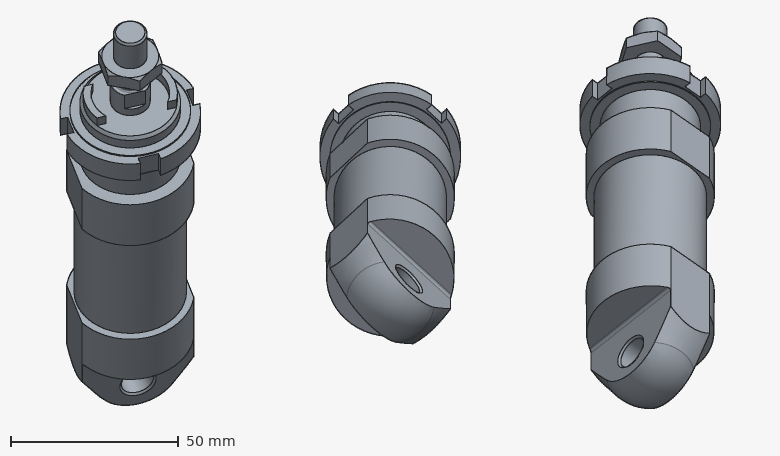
import cadquery as cq
import math


LUG_HOLE_Z = 12.0
REAR_HEAD_BOTTOM = 26.2
HEAD_LENGTH = 18.4
REAR_HEAD_TOP = REAR_HEAD_BOTTOM + HEAD_LENGTH
FRONT_HEAD_TOP = 105.3
FRONT_HEAD_BOTTOM = FRONT_HEAD_TOP - HEAD_LENGTH
COLLAR_TOP = 130.7
ROD_SHOULDER = 139.5
THREAD_BOTTOM = 141.8
ROD_TIP = 161.5

BARREL_DIA = 33.6
HEAD_DIA = 38.3
HEAD_FLATS = 34.9
REAR_HEAD_TAPER = 0.25
COLLAR_DIA = 30.0
COLLAR_CHAMFER = 1.0

TAB_OUTER_DIA = COLLAR_DIA - 2 * COLLAR_CHAMFER
TAB_INNER_DIA = 23.4
TAB_WIDTH = 13.2
TAB_HEIGHT = 3.4

LUG_THICKNESS = 16.0
LUG_ROOT_FILLET = 1.0
LUG_NOSE_RADIUS = 15.2
LUG_CONE_ANGLE = math.radians(30)
LUG_HOLE_DIA = 10.0
LUG_HOLE_CHAMFER = 0.6

ROD_DIA = 12.0
ROD_FLATS = 10.0
ROD_FLATS_HEIGHT = 6.0
THREAD_DIA = 10.0
NECK_DIA = 8.4
NECK_FILLET = 0.5
TIP_CHAMFER = 0.6

HEX_FLATS = 17.0
HEX_HEIGHT = 5.0
HEX_BOTTOM = 145.7
HEX_CHAMFER_ANGLE = math.radians(30)

RING_DIA = 42.0
RING_FACE_DIA = 36.0
RING_HEIGHT = 8.4
RING_BOTTOM = 117.9
RING_STEP = 0.5
RING_SLOT_WIDTH = 6.3
RING_SLOT_FLOOR = 18.5
RING_SLOTS = 4


def cylinder(diameter, bottom, top):
    return cq.Workplane("XY").workplane(offset=bottom).circle(diameter / 2).extrude(top - bottom)


def block(size_x, size_y, bottom, top):
    return cq.Workplane("XY").workplane(offset=bottom).rect(size_x, size_y).extrude(top - bottom)


def revolve_profile(profile):
    """Turn a closed outline drawn in radius and height about the Z axis."""
    return profile.close().revolve(360, (0, 0, 0), (0, 1, 0))


def make_nose_envelope():
    """Round solid with a spherical nose that runs tangent into a cone, then into the head wall."""
    head_radius = HEAD_DIA / 2
    tangent_r = LUG_NOSE_RADIUS * math.cos(LUG_CONE_ANGLE)
    tangent_z = LUG_NOSE_RADIUS * (1 - math.sin(LUG_CONE_ANGLE))
    middle_angle = (math.pi / 2 + LUG_CONE_ANGLE) / 2
    middle_r = LUG_NOSE_RADIUS * math.cos(middle_angle)
    middle_z = LUG_NOSE_RADIUS * (1 - math.sin(middle_angle))
    cone_top_z = tangent_z + (head_radius - tangent_r) / math.tan(LUG_CONE_ANGLE)
    profile = (
        cq.Workplane("XZ")
        .moveTo(0, 0)
        .threePointArc((middle_r, middle_z), (tangent_r, tangent_z))
        .lineTo(head_radius, cone_top_z)
        .lineTo(head_radius, REAR_HEAD_TOP)
        .lineTo(0, REAR_HEAD_TOP)
    )
    return revolve_profile(profile)


def head_outline(height, side_reach):
    """Two flats parallel to X joined by arcs that reach out to side_reach on both sides."""
    flat_y = HEAD_FLATS / 2
    flat_x = math.sqrt((HEAD_DIA / 2) ** 2 - flat_y ** 2)
    return (
        cq.Workplane("XY")
        .workplane(offset=height)
        .moveTo(-flat_x, flat_y)
        .lineTo(flat_x, flat_y)
        .threePointArc((side_reach, 0), (flat_x, -flat_y))
        .lineTo(-flat_x, -flat_y)
        .threePointArc((-side_reach, 0), (-flat_x, flat_y))
        .close()
    )


def make_rear_head():
    """Head with two flats and slightly tapered round sides, and the clevis lug below it."""
    top_reach = HEAD_DIA / 2
    bottom_reach = top_reach - REAR_HEAD_TAPER
    bottom_wire = head_outline(REAR_HEAD_BOTTOM, bottom_reach).val()
    top_wire = head_outline(REAR_HEAD_TOP, top_reach).val()
    head = cq.Workplane(cq.Solid.makeLoft([bottom_wire, top_wire], True))
    lug = head_outline(0, bottom_reach).extrude(REAR_HEAD_BOTTOM)
    lug = lug.intersect(make_lug_section()).intersect(make_nose_envelope())
    return head.union(lug)


def make_lug_section():
    """Straight-sided slab, spread at the top by a concave fillet on each side."""
    half = LUG_THICKNESS / 2
    fillet_start = REAR_HEAD_BOTTOM - LUG_ROOT_FILLET
    fillet_side = half + LUG_ROOT_FILLET
    return (
        cq.Workplane("XZ")
        .moveTo(-half, 0)
        .lineTo(half, 0)
        .lineTo(half, fillet_start)
        .radiusArc((fillet_side, REAR_HEAD_BOTTOM), LUG_ROOT_FILLET)
        .lineTo(-fillet_side, REAR_HEAD_BOTTOM)
        .radiusArc((-half, fillet_start), LUG_ROOT_FILLET)
        .close()
        .extrude(HEAD_DIA / 2, both=True)
    )


def make_lug_hole():
    """Cross hole along X, chamfered at both faces of the lug."""
    half = LUG_THICKNESS / 2
    radius = LUG_HOLE_DIA / 2
    return (
        cq.Workplane("XY")
        .moveTo(-half, 0)
        .lineTo(-half, radius + LUG_HOLE_CHAMFER)
        .lineTo(-half + LUG_HOLE_CHAMFER, radius)
        .lineTo(half - LUG_HOLE_CHAMFER, radius)
        .lineTo(half, radius + LUG_HOLE_CHAMFER)
        .lineTo(half, 0)
        .close()
        .revolve(360, (0, 0, 0), (1, 0, 0))
        .translate((0, 0, LUG_HOLE_Z))
    )


def make_front_head():
    return head_outline(FRONT_HEAD_BOTTOM, HEAD_DIA / 2).extrude(FRONT_HEAD_TOP - FRONT_HEAD_BOTTOM)


def make_tabs():
    """Two opposite arc-shaped tabs, cut from a ring by a band along Y."""
    tab_top = COLLAR_TOP + TAB_HEIGHT
    ring = cylinder(TAB_OUTER_DIA, COLLAR_TOP, tab_top).cut(cylinder(TAB_INNER_DIA, COLLAR_TOP, tab_top))
    return ring.intersect(block(TAB_WIDTH, TAB_OUTER_DIA, COLLAR_TOP, tab_top))


def make_housing():
    collar = cylinder(COLLAR_DIA, FRONT_HEAD_TOP, COLLAR_TOP).faces(">Z").chamfer(COLLAR_CHAMFER)
    barrel = cylinder(BARREL_DIA, REAR_HEAD_TOP, FRONT_HEAD_BOTTOM)
    housing = make_rear_head().cut(make_lug_hole())
    return housing.union(barrel).union(make_front_head()).union(collar).union(make_tabs())


def make_neck():
    """Undercut below the thread, flared by a concave fillet at both ends."""
    neck_radius = NECK_DIA / 2
    flare_radius = neck_radius + NECK_FILLET
    profile = (
        cq.Workplane("XZ")
        .moveTo(0, ROD_SHOULDER)
        .lineTo(flare_radius, ROD_SHOULDER)
        .radiusArc((neck_radius, ROD_SHOULDER + NECK_FILLET), NECK_FILLET)
        .lineTo(neck_radius, THREAD_BOTTOM - NECK_FILLET)
        .radiusArc((flare_radius, THREAD_BOTTOM), NECK_FILLET)
        .lineTo(0, THREAD_BOTTOM)
    )
    return revolve_profile(profile)


def make_rod():
    """Rod standing on the collar face, with wrench flats, an undercut neck and a threaded end."""
    flats_bottom = ROD_SHOULDER - ROD_FLATS_HEIGHT
    shank = cylinder(ROD_DIA, COLLAR_TOP, flats_bottom)
    flats = cylinder(ROD_DIA, flats_bottom, ROD_SHOULDER)
    flats = flats.intersect(block(ROD_FLATS, ROD_DIA, flats_bottom, ROD_SHOULDER))
    neck = make_neck()
    thread = cylinder(THREAD_DIA, THREAD_BOTTOM, ROD_TIP).faces(">Z").chamfer(TIP_CHAMFER)
    return shank.union(flats).union(neck).union(thread)


def make_hex_nut():
    """Hexagonal nut with corners along X, its corners bevelled at the top face."""
    corner_dia = HEX_FLATS / math.cos(math.pi / 6)
    bevel_height = (corner_dia - HEX_FLATS) / 2 * math.tan(HEX_CHAMFER_ANGLE)
    top = HEX_BOTTOM + HEX_HEIGHT
    bevel_profile = (
        cq.Workplane("XZ")
        .moveTo(0, HEX_BOTTOM)
        .lineTo(corner_dia / 2, HEX_BOTTOM)
        .lineTo(corner_dia / 2, top - bevel_height)
        .lineTo(HEX_FLATS / 2, top)
        .lineTo(0, top)
    )
    hexagon = cq.Workplane("XY").workplane(offset=HEX_BOTTOM).polygon(6, corner_dia).extrude(HEX_HEIGHT)
    return hexagon.intersect(revolve_profile(bevel_profile)).cut(cylinder(THREAD_DIA, HEX_BOTTOM, top))


def make_ring_nut():
    """Round nut with a raised face on both ends and four wrench slots in the rim."""
    top = RING_BOTTOM + RING_HEIGHT
    nut = cylinder(RING_DIA, RING_BOTTOM + RING_STEP, top - RING_STEP)
    nut = nut.union(cylinder(RING_FACE_DIA, RING_BOTTOM, top))
    nut = nut.cut(cylinder(COLLAR_DIA, RING_BOTTOM, top))
    slot_depth = RING_DIA / 2 - RING_SLOT_FLOOR
    slot = block(slot_depth, RING_SLOT_WIDTH, RING_BOTTOM, top)
    slot = slot.translate((RING_SLOT_FLOOR + slot_depth / 2, 0, 0))
    for index in range(RING_SLOTS):
        nut = nut.cut(slot.rotate((0, 0, 0), (0, 0, 1), index * 360 / RING_SLOTS))
    return nut


housing = make_housing()
rod = make_rod()
hex_nut = make_hex_nut()
ring_nut = make_ring_nut()

result = cq.Compound.makeCompound([housing.val(), rod.val(), hex_nut.val(), ring_nut.val()])